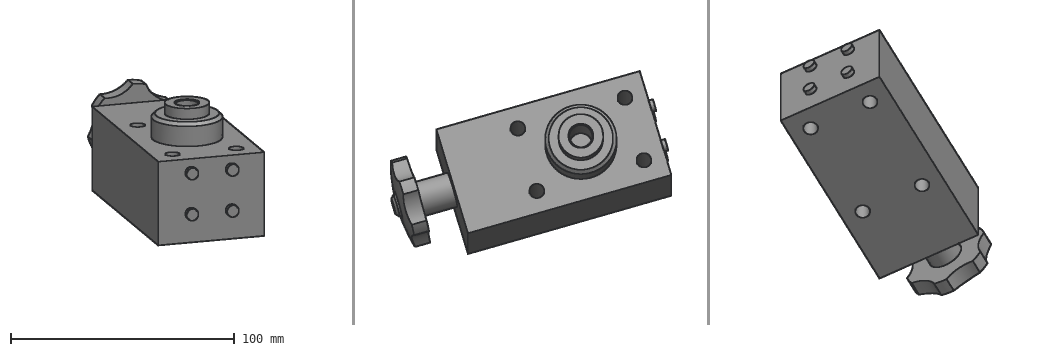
import cadquery as cq
import math

block_start = 27.4
block_length = 94.9
block_width = 50.0
block_height = 39.0

collar_x = block_start + 60.0
collar_diameter = 32.0
collar_height = 11.0
collar_chamfer = 1.6
spigot_diameter = 20.0
spigot_height = 5.0
bore_diameter = 10.2
bore_chamfer = 0.5
bore_depth = collar_height + spigot_height

mounting_diameter = 6.6
mounting_pitch_x = 50.0
mounting_pitch_y = 30.0

head_diameter = 5.5
head_pitch = 19.0
head_height = 2.2

axis_height = 23.0
spindle_diameter = 10.1
tip_chamfer = 1.4

wheel_front = 2.2
wheel_rim_front = 4.5
wheel_back = 11.5
wheel_radius = 20.0
wheel_flat_radius = 8.8
dome_radius = 77.2
hub_diameter = 16.0
countersink = 1.2
lobe_count = 6
valley_radius = 16.8
scallop_half_angle = 20.9
first_scallop_angle = 7.5


def axial_revolve(outline):
    """Turn an outline of (X, radius) about the spindle axis."""
    about_x = outline.close().revolve(360, (0, 0, 0), (1, 0, 0))
    return about_x.translate((0, 0, axis_height))


def make_housing():
    block = cq.Workplane("XY").box(
        block_length, block_width, block_height, centered=(False, True, False)
    ).translate((block_start, 0, 0))

    collar = (
        cq.Workplane("XY", origin=(collar_x, 0, block_height))
        .circle(collar_diameter / 2)
        .extrude(collar_height)
        .faces(">Z")
        .chamfer(collar_chamfer)
    )
    spigot_top = block_height + collar_height + spigot_height
    spigot = (
        cq.Workplane("XY", origin=(collar_x, 0, spigot_top))
        .circle(spigot_diameter / 2)
        .extrude(-spigot_height)
    )
    bore = (
        cq.Workplane("XY", origin=(collar_x, 0, spigot_top))
        .circle(bore_diameter / 2)
        .extrude(-bore_depth)
    )
    bore_mouth = cq.Workplane(
        cq.Solid.makeCone(
            bore_diameter / 2 + bore_chamfer,
            bore_diameter / 2,
            bore_chamfer,
            pnt=cq.Vector(collar_x, 0, spigot_top),
            dir=cq.Vector(0, 0, -1),
        )
    )
    mounting_holes = (
        cq.Workplane("XY", origin=(collar_x, 0, 0))
        .rarray(mounting_pitch_x, mounting_pitch_y, 2, 2)
        .circle(mounting_diameter / 2)
        .extrude(block_height)
    )
    screw_heads = (
        cq.Workplane("YZ", origin=(block_start + block_length, 0, axis_height))
        .rarray(head_pitch, head_pitch, 2, 2)
        .circle(head_diameter / 2)
        .extrude(head_height)
    )
    housing = block.union(collar).union(spigot).union(screw_heads)
    return housing.cut(bore).cut(bore_mouth).cut(mounting_holes)


def make_spindle():
    """Plain rod through the handwheel, ending against the housing."""
    rod = (
        cq.Workplane("YZ", origin=(0, 0, axis_height))
        .circle(spindle_diameter / 2)
        .extrude(block_start)
    )
    return rod.faces("<X").chamfer(tip_chamfer)


def make_scallops():
    """Cylinders that hollow the rim of the wheel between its lobes."""
    half_angle = math.radians(scallop_half_angle)
    half_chord = wheel_radius * math.sin(half_angle)
    depth = wheel_radius * math.cos(half_angle) - valley_radius
    scallop_radius = (half_chord**2 + depth**2) / (2 * depth)
    scallops = cq.Workplane("YZ", origin=(0, 0, axis_height))
    return (
        scallops.polarArray(
            valley_radius + scallop_radius, 180 - first_scallop_angle, 360, lobe_count
        )
        .circle(scallop_radius)
        .extrude(wheel_back)
    )


def make_handwheel():
    """Domed six-lobed wheel with a hub that reaches the housing."""
    bore_radius = spindle_diameter / 2
    wheel = axial_revolve(
        cq.Workplane("XY")
        .moveTo(wheel_front + countersink, bore_radius)
        .lineTo(wheel_front, bore_radius + countersink)
        .lineTo(wheel_front, wheel_flat_radius)
        .radiusArc((wheel_rim_front, wheel_radius), dome_radius)
        .lineTo(wheel_back, wheel_radius)
        .lineTo(wheel_back, hub_diameter / 2)
        .lineTo(block_start, hub_diameter / 2)
        .lineTo(block_start, bore_radius)
    )
    return wheel.cut(make_scallops())


housing = make_housing()
spindle = make_spindle()
handwheel = make_handwheel()

result = cq.Compound.makeCompound(
    [housing.solids().val(), spindle.solids().val(), handwheel.solids().val()]
)